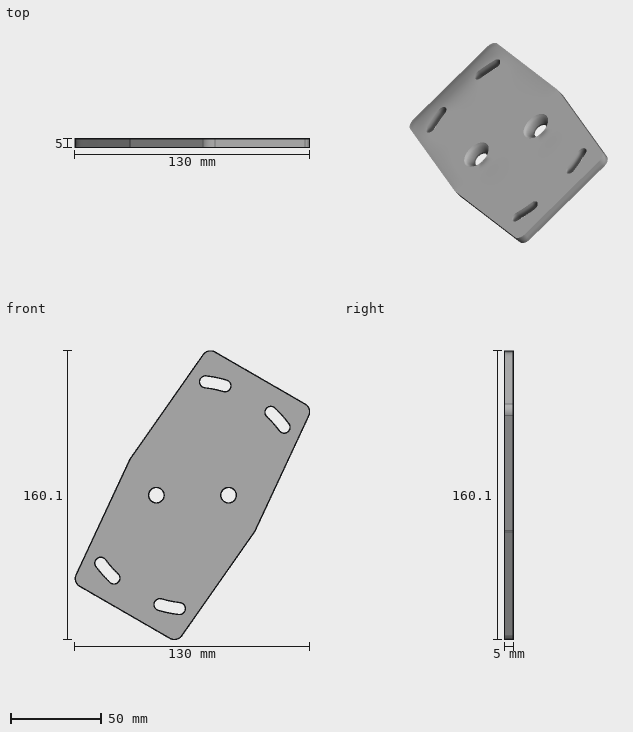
import cadquery as cq
import math

thickness = 5.0
half_length = 75.0
half_width_middle = 40.0
side_taper_angle = 5.0
corner_radius = 5.0
tilt_angle = 30.0

hole_diameter = 8.5
hole_spacing = 40.0
countersink_depth = 4.0
countersink_angle = 90.0
countersink_flare = countersink_depth * math.tan(math.radians(countersink_angle / 2))
countersink_diameter = hole_diameter + 2 * countersink_flare

slot_offset_across = 20.0
slot_offset_along = 60.0
slot_width = 6.5
slot_half_sweep = 5.0

cut_depth = 2 * thickness


def polar_point(radius, angle):
    """Point at a radius and an angle in degrees, measured from +X towards +Z."""
    return (radius * math.cos(math.radians(angle)), radius * math.sin(math.radians(angle)))


def make_plate():
    """Six-sided plate, widest at the middle, with all six corners rounded."""
    half_width_end = half_width_middle - half_length * math.tan(math.radians(side_taper_angle))
    outline = [
        (half_width_middle, 0),
        (half_width_end, half_length),
        (-half_width_end, half_length),
        (-half_width_middle, 0),
        (-half_width_end, -half_length),
        (half_width_end, -half_length),
    ]
    plate = cq.Workplane("XZ").polyline(outline).close().extrude(thickness / 2, both=True)
    return plate.edges("|Y").fillet(corner_radius)


def make_slot(centre_angle):
    """Cutter for one arc slot with round ends, centred on the given angle."""
    slot_radius = math.hypot(slot_offset_across, slot_offset_along)
    inner_radius = slot_radius - slot_width / 2
    outer_radius = slot_radius + slot_width / 2
    start_angle = centre_angle - slot_half_sweep
    end_angle = centre_angle + slot_half_sweep
    cap_angle = math.degrees(2 * math.asin(slot_width / 4 / slot_radius))
    start_tip = polar_point(slot_radius, start_angle - cap_angle)
    end_tip = polar_point(slot_radius, end_angle + cap_angle)
    return (
        cq.Workplane("XZ")
        .moveTo(*polar_point(inner_radius, start_angle))
        .threePointArc(polar_point(inner_radius, centre_angle), polar_point(inner_radius, end_angle))
        .threePointArc(end_tip, polar_point(outer_radius, end_angle))
        .threePointArc(polar_point(outer_radius, centre_angle), polar_point(outer_radius, start_angle))
        .threePointArc(start_tip, polar_point(inner_radius, start_angle))
        .close()
        .extrude(cut_depth / 2, both=True)
    )


def cut_slots(plate):
    """Cut one slot near each of the four end corners."""
    corner_angle = math.degrees(math.atan2(slot_offset_along, slot_offset_across))
    for angle in (corner_angle, 180 - corner_angle, 180 + corner_angle, -corner_angle):
        plate = plate.cut(make_slot(angle))
    return plate


def make_countersunk_hole(centre_x):
    """Cutter for one through hole with a conical countersink opening on the +Y face."""
    bore = cq.Workplane("XZ").center(centre_x, 0).circle(hole_diameter / 2).extrude(cut_depth / 2, both=True)
    countersink = cq.Solid.makeCone(
        countersink_diameter / 2,
        hole_diameter / 2,
        countersink_depth,
        pnt=cq.Vector(centre_x, thickness / 2, 0),
        dir=cq.Vector(0, -1, 0),
    )
    return bore.union(countersink)


def cut_holes(plate):
    """Cut the pair of countersunk holes spaced along X."""
    for centre_x in (-hole_spacing / 2, hole_spacing / 2):
        plate = plate.cut(make_countersunk_hole(centre_x))
    return plate


slotted_plate = cut_slots(make_plate())
tilted_plate = slotted_plate.rotate((0, 0, 0), (0, 1, 0), tilt_angle)
result = cut_holes(tilted_plate)